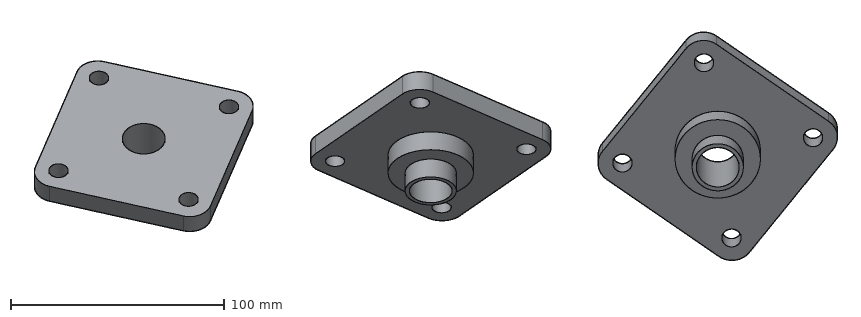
import cadquery as cq

plate_side = 86.0
corner_radius = 10.2

total_height = 30.0
step_height = total_height / 3

boss_diameter = 40.0
spigot_diameter = 24.0

bore_diameter = 20.0
bolt_hole_diameter = 9.0
bolt_spacing = 63.8

plate = (
    cq.Workplane("XY")
    .rect(plate_side, plate_side)
    .extrude(step_height)
    .edges("|Z")
    .fillet(corner_radius)
)

boss = cq.Workplane("XY").circle(boss_diameter / 2).extrude(-step_height)
spigot = cq.Workplane("XY").circle(spigot_diameter / 2).extrude(-2 * step_height)

result = (
    plate.union(boss)
    .union(spigot)
    .faces(">Z")
    .workplane(origin=(0, 0, 0))
    .hole(bore_diameter)
    .faces(">Z")
    .workplane(origin=(0, 0, 0))
    .rect(bolt_spacing, bolt_spacing, forConstruction=True)
    .vertices()
    .hole(bolt_hole_diameter)
)